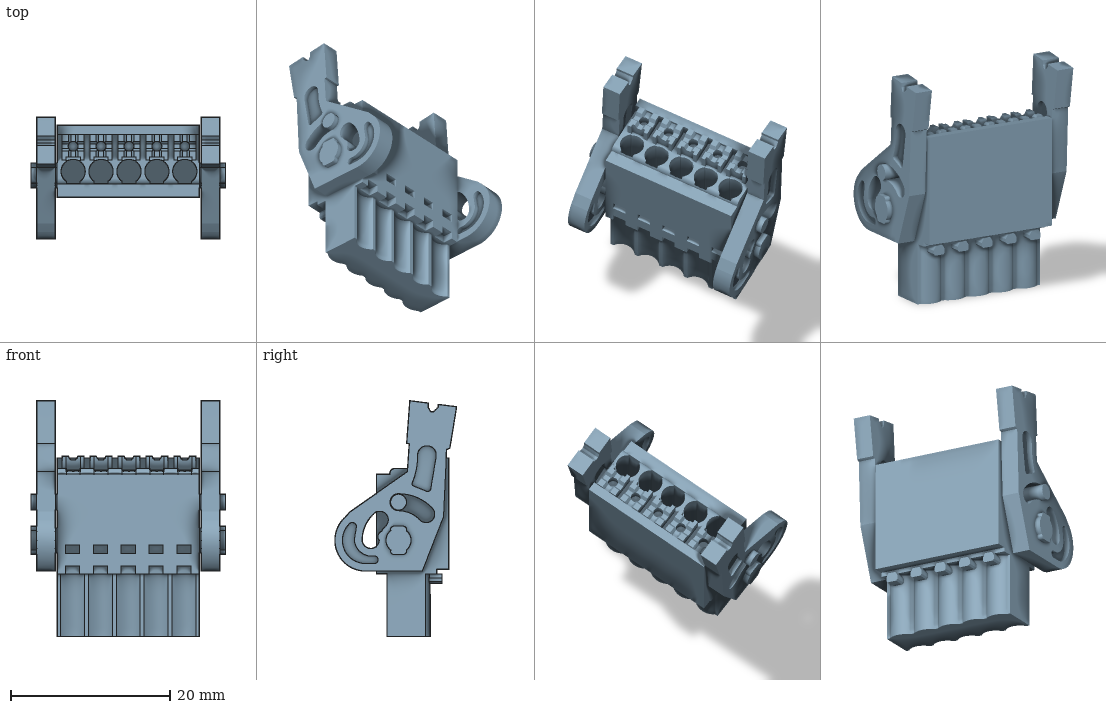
import cadquery as cq
import math


pole_count = 5
pole_pitch = 3.5
end_margin = 0.175
housing_width = pole_count * pole_pitch + 2 * end_margin
pole_x = [(i - (pole_count - 1) / 2) * pole_pitch for i in range(pole_count)]
contact_offset = 0.09
contact_x = [x + contact_offset for x in pole_x]

body_front = -2.77
body_back = 6.3
body_bottom = 7.87
back_step_y = 4.82
back_step_z = 8.41
front_wall_top = 20.36
deck_front = -1.12
deck_top = 21.1
deck_edge_radius = 0.7
back_wall_front = 5.13
back_wall_top = 22.42

plug_front = -1.47
plug_back = 3.41
scallop_width = 3.0
front_scallop_depth = 0.8
back_bulge_height = 0.57

peg_back = 5.48
peg_height = 1.2
notch_width = 1.76
notch_height = 0.95
window_bottom = 10.42
window_height = 1.08
window_depth = 2.0

wire_y = 0.48
wire_radius = 1.52
wire_slot_width = 1.72
wire_slot_front = -1.02
wire_slot_back = 1.84
wire_floor = 12.0

actuator_width = 2.76
actuator_front = 1.89
actuator_back = 5.09
actuator_top = 22.62
actuator_floor = 15.0
recess_width = 1.8
recess_depth = 0.43
ledge_drop = 0.2
cross_y = 3.64
cross_top_width = 1.22
cross_floor_width = 0.6
cross_depth = 0.46
probe_radius = 0.62
probe_depth = 1.6

overall_width = 24.4
overall_height = 29.59
pivot_z = 12.07
lever_gap = 0.22
lever_thickness = 2.34
lever_inner = housing_width / 2 + lever_gap
lever_outer = lever_inner + lever_thickness
pin_length = (overall_width - housing_width) / 2
pivot_radius = 1.57
key_width = 2.0
key_length = 3.54
key_corner = 0.4
guide_pin_radius = 1.0
guide_orbit = 4.78
guide_slot_radius = 1.07
guide_start_angle = 90
guide_end_angle = 43.5

lever_top = overall_height - pivot_z
lever_bottom = -3.88
lobe_center = (-4.12, 0)
lobe_radius = abs(lever_bottom)
lobe_start_angle = 140.5
pocket_depth = 0.7
pocket_front_fillet = 0.3
pocket_back_fillet = 0.4
window_orbit = 3.48
window_radius = 1.07
window_start_angle = 132.5
window_end_angle = 179
groove_outer_radius = 2.92
groove_end_radius = 0.48


def box(x0, x1, y0, y1, z0, z1):
    return cq.Workplane("XY").box(x1 - x0, y1 - y0, z1 - z0, centered=False).translate((x0, y0, z0))


def polar(radius, degrees, center=(0, 0)):
    angle = math.radians(degrees)
    return (center[0] + radius * math.cos(angle), center[1] + radius * math.sin(angle))


def pivot_plane(x):
    """Sketch plane facing +X, local axes Y and Z, centred on the pivot axis."""
    return cq.Workplane("YZ", origin=(x, 0, pivot_z))


def curved_slot(x, length, orbit, radius, start, end):
    """Slot of constant width that follows an arc about the pivot axis."""
    middle = (start + end) / 2
    turn = math.copysign(1, end - start)
    start_cap = polar(radius, start - turn * 90, polar(orbit, start))
    end_cap = polar(radius, end + turn * 90, polar(orbit, end))
    return (
        pivot_plane(x)
        .moveTo(*polar(orbit + radius, start))
        .threePointArc(polar(orbit + radius, middle), polar(orbit + radius, end))
        .threePointArc(end_cap, polar(orbit - radius, end))
        .threePointArc(polar(orbit - radius, middle), polar(orbit - radius, start))
        .threePointArc(start_cap, polar(orbit + radius, start))
        .close()
        .extrude(length)
    )


def actuator_block(x, top):
    """Block with a wide recess down the middle of its front face."""
    block = box(
        x - actuator_width / 2, x + actuator_width / 2,
        actuator_front, actuator_back, actuator_floor, top,
    )
    recess = box(
        x - recess_width / 2, x + recess_width / 2,
        actuator_front, actuator_front + recess_depth, actuator_floor, top,
    )
    return block.cut(recess)


def channel(plane):
    """Flat-bottomed V channel across the top of an actuator."""
    half_top = cross_top_width / 2
    half_floor = cross_floor_width / 2
    return (
        plane.polyline([
            (-half_top, 0), (half_top, 0), (half_floor, -cross_depth), (-half_floor, -cross_depth),
        ])
        .close()
        .extrude(2 * actuator_width, both=True)
    )


def make_actuator(x):
    cross_center = (x, cross_y, actuator_top)
    probe_hole = cq.Workplane("XY", origin=cross_center).circle(probe_radius).extrude(-probe_depth)
    return (
        actuator_block(x, actuator_top)
        .cut(channel(cq.Workplane("XZ", origin=cross_center)))
        .cut(channel(cq.Workplane("YZ", origin=cross_center)))
        .cut(probe_hole)
    )


def housing_body():
    half = housing_width / 2
    arc_mid = polar(deck_edge_radius, 135, (deck_front + deck_edge_radius, deck_top - deck_edge_radius))
    return (
        cq.Workplane("YZ", origin=(-half, 0, 0))
        .moveTo(body_front, body_bottom)
        .lineTo(body_front, front_wall_top)
        .lineTo(deck_front, front_wall_top)
        .lineTo(deck_front, deck_top - deck_edge_radius)
        .threePointArc(arc_mid, (deck_front + deck_edge_radius, deck_top))
        .lineTo(back_wall_front, deck_top)
        .lineTo(back_wall_front, back_wall_top)
        .lineTo(body_back, back_wall_top)
        .lineTo(body_back, back_step_z)
        .lineTo(back_step_y, back_step_z)
        .lineTo(back_step_y, body_bottom)
        .close()
        .extrude(housing_width)
    )


def plug():
    """Plug with hollow scallops along the front and matching bulges along the back."""
    half = housing_width / 2
    outline = cq.Workplane("XY").moveTo(-half, plug_back).lineTo(-half, plug_front)
    for x in pole_x:
        outline = outline.lineTo(x - scallop_width / 2, plug_front).threePointArc(
            (x, plug_front + front_scallop_depth), (x + scallop_width / 2, plug_front)
        )
    outline = outline.lineTo(half, plug_front).lineTo(half, plug_back)
    for x in reversed(pole_x):
        outline = outline.lineTo(x + scallop_width / 2, plug_back).threePointArc(
            (x, plug_back + back_bulge_height), (x - scallop_width / 2, plug_back)
        )
    return outline.close().extrude(body_bottom)


def coding_peg(x):
    """Peg under the back edge with bevelled upper sides and lower corners."""
    half_profile = [(0.5, 0), (0.66, -0.25), (0.8, -0.53), (0.8, -0.98), (0.6, -peg_height)]
    mirrored = [(-px, pz) for px, pz in reversed(half_profile)]
    return (
        cq.Workplane("XZ", origin=(x, peg_back, body_bottom))
        .polyline(half_profile + mirrored)
        .close()
        .extrude(peg_back - plug_back)
    )


def wire_entry(x):
    """Round entry with straight-sided slots toward the front and back."""
    height = back_wall_top - wire_floor
    bore = cq.Workplane("XY", origin=(x, wire_y, wire_floor)).circle(wire_radius).extrude(height)
    slot = box(
        x - wire_slot_width / 2, x + wire_slot_width / 2,
        wire_slot_front, wire_slot_back, wire_floor, back_wall_top,
    )
    return bore.union(slot)


def front_openings(x):
    """Notch in the lower front edge and the small window above it."""
    half = notch_width / 2
    notch = box(x - half, x + half, body_front, plug_front, body_bottom, body_bottom + notch_height)
    window = box(
        x - half, x + half, body_front, body_front + window_depth,
        window_bottom, window_bottom + window_height,
    )
    return notch.union(window)


def ledge_cut(x):
    """Lowers the strip of deck between an actuator and its wire entry."""
    half = recess_width / 2
    ledge_back = actuator_front + recess_depth
    return box(x - half, x + half, wire_slot_back, ledge_back, deck_top - ledge_drop, deck_top)


def side_pins():
    """Pivot pin with a keyed head, and guide pin, on the +X side."""
    start = housing_width / 2
    pivot = pivot_plane(start).circle(pivot_radius).extrude(pin_length)
    key = (
        pivot_plane(lever_outer)
        .rect(key_width, key_length)
        .extrude(start + pin_length - lever_outer)
        .edges("|X")
        .fillet(key_corner)
    )
    guide = pivot_plane(start).center(*polar(guide_orbit, guide_start_angle)).circle(guide_pin_radius)
    return pivot.union(key).union(guide.extrude(pin_length))


def make_housing():
    body = housing_body().union(plug())
    for x in pole_x:
        body = body.union(coding_peg(x)).cut(front_openings(x))
    for x in contact_x:
        body = body.cut(wire_entry(x)).cut(ledge_cut(x)).cut(actuator_block(x, back_wall_top))
    pins = side_pins()
    return body.union(pins).union(pins.mirror("YZ"))


def lever_plate():
    lobe_start = polar(lobe_radius, lobe_start_angle, lobe_center)
    return (
        pivot_plane(lever_inner)
        .moveTo(2.97, lever_bottom)
        .lineTo(5.64, 2.93)
        .lineTo(6.03, 11.37)
        .lineTo(6.45, 11.55)
        .lineTo(7.3, 16.76)
        .lineTo(4.95, 17.06)
        .lineTo(4.95, 16.66)
        .lineTo(4.4, 16.15)
        .lineTo(4.02, 16.15)
        .lineTo(3.75, 16.66)
        .lineTo(3.75, 17.22)
        .lineTo(1.4, lever_top)
        .lineTo(1.0, 12.12)
        .lineTo(1.33, 12.12)
        .lineTo(1.09, 8.6)
        .lineTo(-6.06, 3.6)
        .lineTo(*lobe_start)
        .threePointArc(
            (lobe_center[0] - lobe_radius, lobe_center[1]),
            (lobe_center[0], lever_bottom),
        )
        .close()
        .extrude(lever_thickness)
    )


def corner_edge(x, corner):
    """Picks the pocket edge that stands at the given corner."""
    point = (x + pocket_depth / 2, corner[0], pivot_z + corner[1])
    return cq.selectors.NearestToPointSelector(point)


def handle_pocket(x):
    """Shallow pocket in the handle: round top, bowed front edge, rounded lower corners."""
    center = (3.56, 10.68)
    radius = 1.17
    back_top = polar(radius, -10, center)
    front_top = polar(radius, 180, center)
    front_corner = (1.6, 6.93)
    back_corner = (3.96, 5.96)
    pocket = (
        pivot_plane(x)
        .moveTo(*back_top)
        .threePointArc((center[0], center[1] + radius), front_top)
        .threePointArc((2.2, 8.72), front_corner)
        .lineTo(*back_corner)
        .close()
        .extrude(pocket_depth)
    )
    front_edge = corner_edge(x, front_corner)
    back_edge = corner_edge(x, back_corner)
    return pocket.edges(front_edge).fillet(pocket_front_fillet).edges(back_edge).fillet(pocket_back_fillet)


def lobe_groove(x):
    """Shallow crescent groove that follows the rim of the lobe."""
    tail_y = -3.05
    outer_bottom = lobe_center[1] - groove_outer_radius
    inner_bottom = outer_bottom + 2 * groove_end_radius
    tail_tip = (tail_y + groove_end_radius, outer_bottom + groove_end_radius)
    return (
        pivot_plane(x)
        .moveTo(tail_y, outer_bottom)
        .lineTo(lobe_center[0], outer_bottom)
        .threePointArc(
            polar(groove_outer_radius, 185, lobe_center),
            polar(groove_outer_radius, 133, lobe_center),
        )
        .threePointArc((-5.62, 2.2), (-5.28, 1.7))
        .lineTo(-5.54, 0.1)
        .threePointArc((-5.05, -1.2), (tail_y, inner_bottom))
        .threePointArc(tail_tip, (tail_y, outer_bottom))
        .close()
        .extrude(pocket_depth)
    )


def lobe_window():
    """Curved opening through the lobe with a small snap bump on its inner edge."""
    opening = curved_slot(
        lever_inner, lever_thickness, window_orbit, window_radius, window_start_angle, window_end_angle
    )
    bump = (
        pivot_plane(lever_inner)
        .moveTo(-1.9, 0)
        .lineTo(-2.43, 0)
        .threePointArc((-2.52, 0.75), (-2.16, 1.13))
        .lineTo(-1.9, 1.13)
        .close()
        .extrude(lever_thickness)
    )
    return opening.cut(bump)


def make_lever():
    """Lever on the +X side, pocketed alike on both faces."""
    lever = lever_plate()
    lever = lever.cut(pivot_plane(lever_inner).circle(pivot_radius).extrude(lever_thickness))
    lever = lever.cut(curved_slot(
        lever_inner, lever_thickness, guide_orbit, guide_slot_radius, guide_start_angle, guide_end_angle
    ))
    lever = lever.cut(lobe_window())
    for face_x in (lever_inner, lever_outer - pocket_depth):
        lever = lever.cut(handle_pocket(face_x)).cut(lobe_groove(face_x))
    return lever


housing = make_housing()
actuators = [make_actuator(x) for x in contact_x]
lever_right = make_lever()
levers = [lever_right, lever_right.mirror("YZ")]

bodies = [housing] + actuators + levers
result = cq.Compound.makeCompound([body.solids().val() for body in bodies])